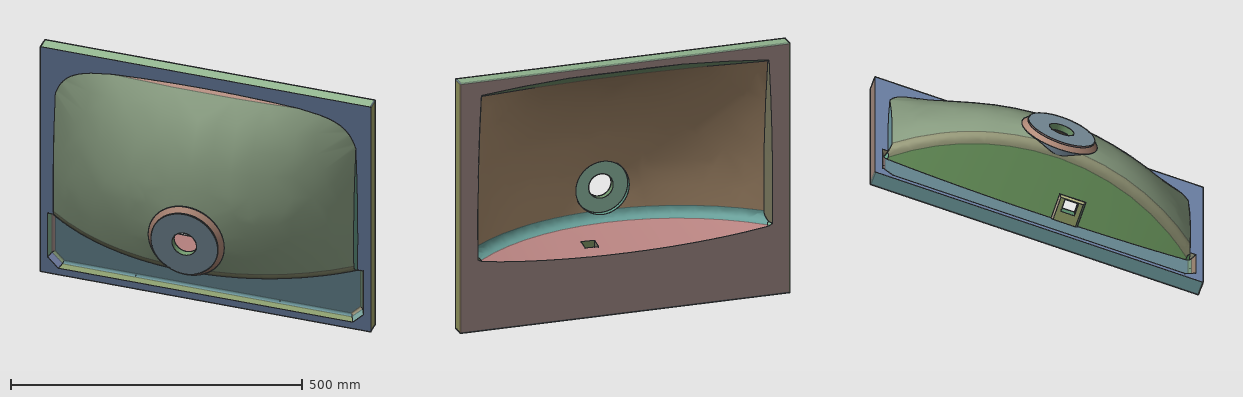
import cadquery as cq
import math


rim_width = 600.0
rim_height = 460.0
rim_thickness = 25.0
rim_edge_radius = 2.0

bowl_top = 200.5
bowl_bottom = -110.0
bowl_half_width = 272.5
bowl_deepest_z = -42.0
mid_depth_max = 109.0
mid_arc_radius = 336.0
side_depth_max = 12.0
side_arc_radius = 1380.0
bowl_section_count = 9
side_taper = 0.3
top_wall_slope = 0.9
top_wall_rise = 15.0
bottom_wall_slope = 0.18
bottom_wall_drop = 24.0
bottom_edge_radius = 20.0
wall = 12.0
bowl_backing = 180.0
bowl_overlap = 0.5

recess_half_width = 286.0
recess_top = -108.0
recess_bottom = -216.5
recess_corner = 19.0
recess_depth = 12.5
recess_wall_inset = 6.0
recess_floor_radius = 6.0

drain_z = -42.0
drain_face = 114.5
drain_radius = 60.5
drain_base_radius = 69.0
drain_lip = 3.0
drain_base_depth = 104.0
drain_hole_radius = 22.0

overflow_x = 50.5
overflow_width = 48.0
overflow_end_depth = 31.0
overflow_face_z = -132.5
overflow_height = 18.0
overflow_chamfer = 3.5
overflow_slot_width = 24.5
overflow_slot_start = 5.0
overflow_slot_end = 26.5
overflow_slot_height = 30.0


def arc_depth(z, depth_max, radius):
    """Depth at a height along an arc; negative where the arc has passed behind the rim face."""
    offset = z - bowl_deepest_z
    return depth_max - radius + math.sqrt(radius**2 - offset**2)


def bowl_station(z, inset):
    mid_depth = arc_depth(z, mid_depth_max, mid_arc_radius) - inset
    side_depth = arc_depth(z, side_depth_max, side_arc_radius) - inset
    return z, mid_depth, side_depth


def bowl_section(z, mid_depth, side_depth, half_width):
    """Closed XY section of the bowl: an arc at the front, tapered side walls and a flat back."""
    back_half_width = half_width + side_taper * (bowl_backing + side_depth)
    return (
        cq.Workplane("XY", origin=(0, 0, z))
        .moveTo(-half_width, -side_depth)
        .threePointArc((0, -mid_depth), (half_width, -side_depth))
        .lineTo(back_half_width, bowl_backing)
        .lineTo(-back_half_width, bowl_backing)
        .close()
        .val()
    )


def loft(wires, ruled):
    return cq.Workplane(cq.Solid.makeLoft(wires, ruled))


def sloped_wall(station, height_change, half_width, slope):
    """Ruled wall from an end section: the same arc, drawn back into the rim as the height changes."""
    z, mid_depth, side_depth = station
    setback = abs(height_change) / slope
    near = bowl_section(z, mid_depth, side_depth, half_width)
    far = bowl_section(z + height_change, mid_depth - setback, side_depth - setback, half_width)
    return loft([near, far], True)


def bowl_body(inset):
    """Bowl shape reduced by an inset on every wall and reaching back through the rim."""
    half_width = bowl_half_width - inset
    bottom = bowl_bottom + inset
    step = (bowl_top - bottom) / (bowl_section_count - 1)
    stations = [bowl_station(bowl_top - i * step, inset) for i in range(bowl_section_count)]
    body = loft([bowl_section(*station, half_width) for station in stations], False)
    body = body.union(sloped_wall(stations[0], top_wall_rise, half_width, top_wall_slope))
    body = body.union(sloped_wall(stations[-1], -bottom_wall_drop, half_width, bottom_wall_slope))
    edge_point = (0, -stations[-1][1], stations[-1][0])
    return body.edges(cq.NearestToPointSelector(edge_point)).fillet(bottom_edge_radius)


def box_between(x_range, y_range, z_range):
    size = [high - low for low, high in (x_range, y_range, z_range)]
    corner = cq.Vector(x_range[0], y_range[0], z_range[0])
    return cq.Workplane(cq.Solid.makeBox(*size, corner))


def make_rim():
    rim = cq.Workplane("XY").box(rim_width, rim_thickness, rim_height)
    rim = rim.translate((0, rim_thickness / 2, 0))
    return rim.edges("|Y").fillet(rim_edge_radius).faces(">Y").edges().fillet(rim_edge_radius)


def recess_outline(inset, y):
    half = recess_half_width - inset
    bottom = recess_bottom + inset
    corner = recess_corner
    points = [
        (-half, recess_top),
        (-half, bottom + corner),
        (-half + corner, bottom),
        (half - corner, bottom),
        (half, bottom + corner),
        (half, recess_top),
    ]
    return cq.Wire.makePolygon([cq.Vector(x, y, z) for x, z in points], close=True)


def make_recess():
    recess = loft([recess_outline(0, 0), recess_outline(recess_wall_inset, recess_depth)], True)
    return recess.faces(">Y").edges("not >Z").fillet(recess_floor_radius)


def make_drain():
    """Drain boss: a flared base under a short straight lip, revolved about the drain axis."""
    profile = [
        (0, 0),
        (drain_base_radius, 0),
        (drain_base_radius, drain_base_depth),
        (drain_radius, drain_face - drain_lip),
        (drain_radius, drain_face),
        (0, drain_face),
    ]
    boss = cq.Workplane("XY").polyline([(r, -depth) for r, depth in profile]).close()
    return boss.revolve(360, (0, 0), (0, 1)).translate((0, 0, drain_z))


def make_drain_cutter():
    """Drain hole opening into a wider flat seat inside the bowl."""
    axis = cq.Workplane("XZ", origin=(0, 0, drain_z))
    hole = axis.circle(drain_hole_radius).extrude(drain_face)
    seat = axis.circle(drain_radius - wall).extrude(drain_face - wall)
    return hole.union(seat)


def make_overflow_pad():
    """Pad under the bottom wall, from the recess floor outward, following the slope of the wall."""
    end_rise = bottom_wall_slope * overflow_end_depth
    recess_fall = bottom_wall_slope * recess_depth
    top = overflow_face_z + overflow_height
    profile = [
        (recess_depth, overflow_face_z - recess_fall),
        (-overflow_end_depth, overflow_face_z + end_rise),
        (-overflow_end_depth, top),
        (recess_depth, top),
    ]
    pad = cq.Workplane("YZ", origin=(overflow_x, 0, 0)).polyline(profile).close()
    pad = pad.extrude(overflow_width / 2, both=True)
    return pad.faces("<Z").edges("not >Y").chamfer(overflow_chamfer)


def make_overflow_slot():
    """Slot through the pad and the bottom wall into the bowl."""
    half_width = overflow_slot_width / 2
    return box_between(
        (overflow_x - half_width, overflow_x + half_width),
        (-overflow_slot_end, -overflow_slot_start),
        (overflow_face_z, overflow_face_z + overflow_slot_height),
    )


def make_bowl():
    """Solid bowl, cut off just behind the recess floor so that it merges with the rim."""
    front = box_between(
        (-rim_width / 2, rim_width / 2),
        (-drain_face, recess_depth + bowl_overlap),
        (-rim_height / 2, rim_height / 2),
    )
    return bowl_body(0).intersect(front)


result = make_rim().cut(make_recess())
result = result.union(make_bowl()).union(make_drain()).union(make_overflow_pad())
result = result.cut(bowl_body(wall)).cut(make_drain_cutter()).cut(make_overflow_slot()).solids()